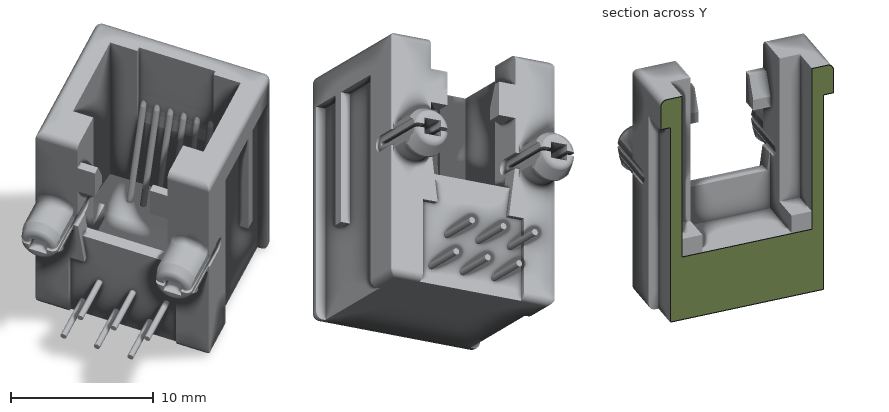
import cadquery as cq
import math


WIDTH = 13.2
OVERALL_DEPTH = 14.7
DEPTH = 11.5
HEIGHT = 18.1
EDGE_RADIUS = 0.5
BOARD_EDGE_RADIUS = 0.1

CAVITY_HALF = 4.95
CAVITY_FRONT = 2.93
CAVITY_BACK = 9.81
FLOOR_Z = 5.1
FLOOR_BEND_Y = 5.55
FLOOR_ANGLE = 14.0
LEDGE_BACK = 5.05
LEDGE_Z = 6.52

CHANNEL_HALF = 3.4
CHANNEL_FOOT_HALF = 2.88
TAPER_TOP_Z = 9.95
PLATE_FRONT = 0.43
PLATE_BACK = 1.27
PLATE_TOP_Z = 8.22
FOOT_HALF = 4.07
FOOT_TOP_Z = 6.01

TAB_GAP_HALF = 2.08
TAB_TOP_Z = 15.82
TAB_BOTTOM_Z = 13.34
TAB_TOP_DEPTH = 0.6
TAB_DEPTH = 1.32
TAB_SLOPE_FOOT_Z = 14.19

RECESS_HALF = 2.9
RECESS_BACK = 10.15
RECESS_SLOPE_TOP_Z = 13.27
RECESS_UPPER_BEND = (10.12, 12.02)
RECESS_LOWER_BEND = (10.06, 11.64)
RECESS_FOOT = (9.83, 10.7)

WIRE_RADIUS = 0.226
CONTACT_COUNT = 6
CONTACT_PITCH = 1.01
KINK_Y = 10.06
KINK_Z = 12.13
CONTACT_LEAN = 18.4
CONTACT_LENGTH = 8.69
TIP_LEAN = 35.0
TIP_LENGTH = 0.72
PIN_PITCH = 1.27
PIN_ROW_Z = (1.3, 3.84)
PIN_REACH = 3.17
PIN_ROOT = 0.36

SIDE_DEPTH = 0.75
SIDE_FRONT = 2.99
SIDE_BACK = 10.68
SIDE_TOP_Z = 15.73
RIB_FRONT = 7.17
RIB_BACK = 7.91
RIB_FOOT_Z = 6.08

PEG_X = 5.09
PEG_Z = 10.19
PEG_RADIUS = 1.61
PEG_LENGTH = OVERALL_DEPTH - DEPTH
PEG_EMBED = 0.18
PEG_FLAT_HALF = 1.4
PEG_ROOT_RADIUS = 0.3
NOSE_RADIUS = 1.32
NOSE_START = 3.0
PEG_END_RADIUS = 0.96
NOSE_MIDDLE_RADIUS = 1.2
NOSE_MIDDLE = 3.13
BARB_RADIUS = 1.8
BARB_START = 1.83
BARB_END = 2.06
SLOT_END_Y = 1.61
WIDE_SLOT_RADIUS = 0.588
NARROW_SLOT_RADIUS = 0.15
WEB_INNER_HALF = 0.65
WEB_OUTER_HALF = 1.34


def block(x0, x1, y0, y1, z0, z1):
    return cq.Workplane("XY").box(x1 - x0, y1 - y0, z1 - z0, centered=False).translate((x0, y0, z0))


def side_prism(points, x0, x1):
    """Extrude a (Y, Z) outline from x0 to x1."""
    return cq.Workplane("YZ", origin=(x0, 0, 0)).polyline(points).close().extrude(x1 - x0)


def mirrored(shape):
    return shape.union(shape.mirror("YZ"))


def housing():
    body = block(-WIDTH / 2, WIDTH / 2, 0, DEPTH, 0, HEIGHT)
    body = body.edges("|X or |Y or (|Z and >Y)").fillet(EDGE_RADIUS)
    return body.edges("|Z and <Y").fillet(BOARD_EDGE_RADIUS)


def sloped_floor_z(y):
    """Height of the floor behind its bend."""
    return FLOOR_Z - (y - FLOOR_BEND_Y) * math.tan(math.radians(FLOOR_ANGLE))


def cavity():
    outline = [
        (CAVITY_FRONT, HEIGHT),
        (CAVITY_FRONT, FLOOR_Z),
        (FLOOR_BEND_Y, FLOOR_Z),
        (CAVITY_BACK, sloped_floor_z(CAVITY_BACK)),
        (CAVITY_BACK, HEIGHT),
    ]
    room = side_prism(outline, -CAVITY_HALF, CAVITY_HALF)
    ledge = block(CHANNEL_HALF, CAVITY_HALF, CAVITY_FRONT, LEDGE_BACK, 0, LEDGE_Z)
    return room.cut(mirrored(ledge))


def channel():
    inner = block(-CHANNEL_HALF, CHANNEL_HALF, PLATE_BACK, CAVITY_FRONT, FLOOR_Z, HEIGHT)
    outline = [
        (CHANNEL_FOOT_HALF, FOOT_TOP_Z),
        (CHANNEL_HALF, TAPER_TOP_Z),
        (CHANNEL_HALF, HEIGHT),
        (-CHANNEL_HALF, HEIGHT),
        (-CHANNEL_HALF, TAPER_TOP_Z),
        (-CHANNEL_FOOT_HALF, FOOT_TOP_Z),
    ]
    opening = cq.Workplane("XZ").polyline(outline).close().extrude(-PLATE_BACK)
    plate = block(-CHANNEL_HALF, CHANNEL_HALF, PLATE_FRONT, PLATE_BACK, 0, PLATE_TOP_Z)
    foot = block(-FOOT_HALF, FOOT_HALF, 0, PLATE_FRONT, 0, FOOT_TOP_Z)
    return inner.union(opening.cut(plate)).union(foot)


def latch_tabs():
    outline = [
        (0, TAB_BOTTOM_Z),
        (0, TAB_TOP_Z),
        (TAB_TOP_DEPTH, TAB_TOP_Z),
        (TAB_DEPTH, TAB_SLOPE_FOOT_Z),
        (TAB_DEPTH, TAB_BOTTOM_Z),
    ]
    return mirrored(side_prism(outline, TAB_GAP_HALF, CHANNEL_HALF))


def contact_recess():
    foot_y = RECESS_FOOT[0]
    outline = [
        (CAVITY_FRONT, HEIGHT),
        (RECESS_BACK, HEIGHT),
        (RECESS_BACK, RECESS_SLOPE_TOP_Z),
        RECESS_UPPER_BEND,
        RECESS_LOWER_BEND,
        RECESS_FOOT,
        (foot_y, sloped_floor_z(foot_y)),
        (FLOOR_BEND_Y, FLOOR_Z),
        (CAVITY_FRONT, FLOOR_Z),
    ]
    return side_prism(outline, -RECESS_HALF, RECESS_HALF)


def side_recess():
    outer = WIDTH / 2
    pocket = block(outer - SIDE_DEPTH, outer, SIDE_FRONT, SIDE_BACK, 0, SIDE_TOP_Z)
    rib = block(outer - SIDE_DEPTH, outer, RIB_FRONT, RIB_BACK, RIB_FOOT_Z, SIDE_TOP_Z)
    return pocket.cut(rib)


def rod(start, direction, length):
    return cq.Workplane(
        cq.Solid.makeCylinder(WIRE_RADIUS, length, cq.Vector(*start), cq.Vector(*direction))
    )


def contact(x):
    """Spring wire rooted in the floor, bent back into the wall at its top."""
    lean = math.radians(CONTACT_LEAN)
    tip_lean = math.radians(TIP_LEAN)
    kink = (x, KINK_Y, KINK_Z)
    spring = rod(kink, (0, -math.sin(lean), -math.cos(lean)), CONTACT_LENGTH)
    tip = rod(kink, (0, math.sin(tip_lean), math.cos(tip_lean)), TIP_LENGTH)
    knee = cq.Workplane("XY").sphere(WIRE_RADIUS).translate(kink)
    return spring.union(knee).union(tip)


def solder_pin(x, z):
    root_y = PLATE_FRONT + PIN_ROOT
    return rod((x, root_y, z), (0, -1, 0), root_y + PIN_REACH)


def half_peg(barbed):
    """Half turn of the peg around the Y axis, on the +Z side."""
    cone_slope = (BARB_RADIUS - NOSE_RADIUS) / (NOSE_START - BARB_END)
    cone_start = BARB_END + (BARB_RADIUS - PEG_RADIUS) / cone_slope
    root_middle = PEG_ROOT_RADIUS * (1 - math.sqrt(0.5))
    profile = (
        cq.Workplane("XY")
        .moveTo(0, PEG_EMBED)
        .lineTo(PEG_RADIUS + PEG_ROOT_RADIUS, PEG_EMBED)
        .lineTo(PEG_RADIUS + PEG_ROOT_RADIUS, 0)
        .threePointArc((PEG_RADIUS + root_middle, -root_middle), (PEG_RADIUS, -PEG_ROOT_RADIUS))
    )
    if barbed:
        profile = profile.lineTo(PEG_RADIUS, -BARB_START).lineTo(BARB_RADIUS, -BARB_START)
        profile = profile.lineTo(BARB_RADIUS, -BARB_END)
    else:
        profile = profile.lineTo(PEG_RADIUS, -cone_start)
    profile = (
        profile.lineTo(NOSE_RADIUS, -NOSE_START)
        .threePointArc((NOSE_MIDDLE_RADIUS, -NOSE_MIDDLE), (PEG_END_RADIUS, -PEG_LENGTH))
        .lineTo(0, -PEG_LENGTH)
        .close()
    )
    return profile.revolve(180, (0, 0), (0, -1))


def peg_halves():
    """Both halves of the right peg, kept apart because its slot divides them."""
    upper = half_peg(barbed=False)
    lower = half_peg(barbed=True).rotate((0, 0, 0), (0, 1, 0), 180)
    flats = block(-PEG_FLAT_HALF, PEG_FLAT_HALF, -PEG_LENGTH, PEG_EMBED, -2 * PEG_RADIUS, 2 * PEG_RADIUS)
    return [half.intersect(flats).translate((PEG_X, 0, PEG_Z)) for half in (upper, lower)]


def peg_slot(radius, x0, x1):
    """Round-ended slot along Y, open at the peg's free end."""
    round_end = cq.Workplane("YZ", origin=(x0, SLOT_END_Y, PEG_Z)).circle(radius).extrude(x1 - x0)
    straight = block(x0, x1, -PEG_LENGTH, SLOT_END_Y, PEG_Z - radius, PEG_Z + radius)
    return round_end.union(straight)


def peg_slots():
    """Narrow slot right through, widened everywhere except in the peg's two thin webs."""
    inner = CHANNEL_FOOT_HALF
    outer = WIDTH / 2
    slots = peg_slot(NARROW_SLOT_RADIUS, inner, outer)
    slots = slots.union(peg_slot(WIDE_SLOT_RADIUS, inner, PEG_X - WEB_OUTER_HALF))
    slots = slots.union(peg_slot(WIDE_SLOT_RADIUS, PEG_X - WEB_INNER_HALF, PEG_X + WEB_INNER_HALF))
    return slots.union(peg_slot(WIDE_SLOT_RADIUS, PEG_X + WEB_OUTER_HALF, outer))


result = housing().cut(cavity()).cut(channel()).cut(contact_recess())
result = result.union(latch_tabs())
result = result.cut(mirrored(side_recess()))
slots = peg_slots()
result = result.cut(mirrored(slots))
for half in peg_halves():
    split_half = half.cut(slots)
    result = result.union(split_half).union(split_half.mirror("YZ"))
for i in range(CONTACT_COUNT):
    step = i - (CONTACT_COUNT - 1) / 2
    result = result.union(contact(step * CONTACT_PITCH))
    result = result.union(solder_pin(step * PIN_PITCH, PIN_ROW_Z[i % 2]))